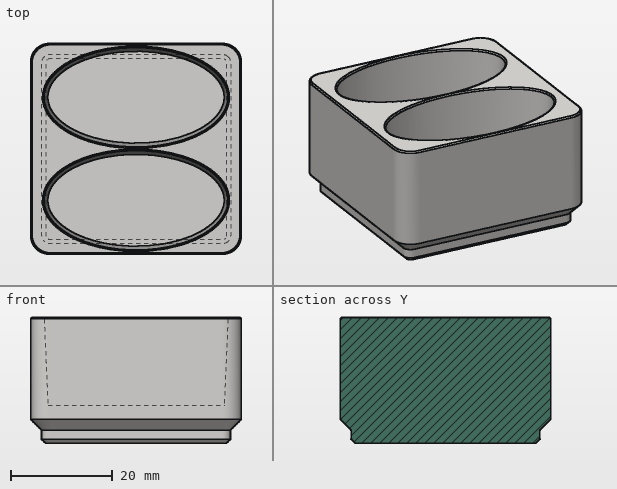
import cadquery as cq
import math

side = 41.5
height = 24.8
corner_radius = 3.75
top_edge_chamfer = 0.3

foot_lower_chamfer = 0.8
foot_band_height = 1.8
foot_upper_chamfer = 2.15
foot_height = foot_lower_chamfer + foot_band_height + foot_upper_chamfer

pocket_count = 2
pocket_pitch = 20.28
pocket_length = 36.18
pocket_width = 19.55
pocket_depth = 17.3
pocket_draft = 2.5
pocket_rim_chamfer = 0.3


def rounded_square(inset, z):
    """Square with rounded corners, drawn inside the outer profile by the given inset."""
    size = side - 2 * inset
    return (
        cq.Sketch()
        .rect(size, size)
        .vertices()
        .fillet(corner_radius - inset)
        .moved(cq.Location(cq.Vector(0, 0, z)))
    )


def tapered_layer(bottom_inset, top_inset, z_bottom, z_top):
    """Layer with a rounded-square profile that widens evenly from bottom to top."""
    return (
        cq.Workplane("XY")
        .placeSketch(rounded_square(bottom_inset, z_bottom), rounded_square(top_inset, z_top))
        .loft()
    )


def make_foot():
    band_inset = foot_upper_chamfer
    tip_inset = band_inset + foot_lower_chamfer
    band_top = foot_lower_chamfer + foot_band_height
    lower = tapered_layer(tip_inset, band_inset, 0, foot_lower_chamfer)
    band = tapered_layer(band_inset, band_inset, foot_lower_chamfer, band_top)
    upper = tapered_layer(band_inset, 0, band_top, foot_height)
    return lower.union(band).union(upper)


def make_body():
    return (
        cq.Workplane("XY")
        .placeSketch(rounded_square(0, foot_height))
        .extrude(height - foot_height)
        .faces(">Z")
        .chamfer(top_edge_chamfer)
    )


def ellipse_loft(y_center, z_bottom, bottom_growth, z_top, top_growth):
    """Solid between two ellipses, each the pocket outline grown by the given margin."""
    length_radius = pocket_length / 2
    width_radius = pocket_width / 2
    return (
        cq.Workplane("XY", origin=(0, y_center, z_bottom))
        .ellipse(length_radius + bottom_growth, width_radius + bottom_growth)
        .workplane(offset=z_top - z_bottom)
        .ellipse(length_radius + top_growth, width_radius + top_growth)
        .loft(ruled=True)
    )


def make_pocket(y_center):
    floor_z = height - pocket_depth
    wall_top_z = height - pocket_rim_chamfer
    floor_inset = (wall_top_z - floor_z) * math.tan(math.radians(pocket_draft))
    wall = ellipse_loft(y_center, floor_z, -floor_inset, wall_top_z, 0)
    rim = ellipse_loft(y_center, wall_top_z, 0, height, pocket_rim_chamfer)
    return wall.union(rim)


result = make_foot().union(make_body())
for index in range(pocket_count):
    pocket_y = (index - (pocket_count - 1) / 2) * pocket_pitch
    result = result.cut(make_pocket(pocket_y))